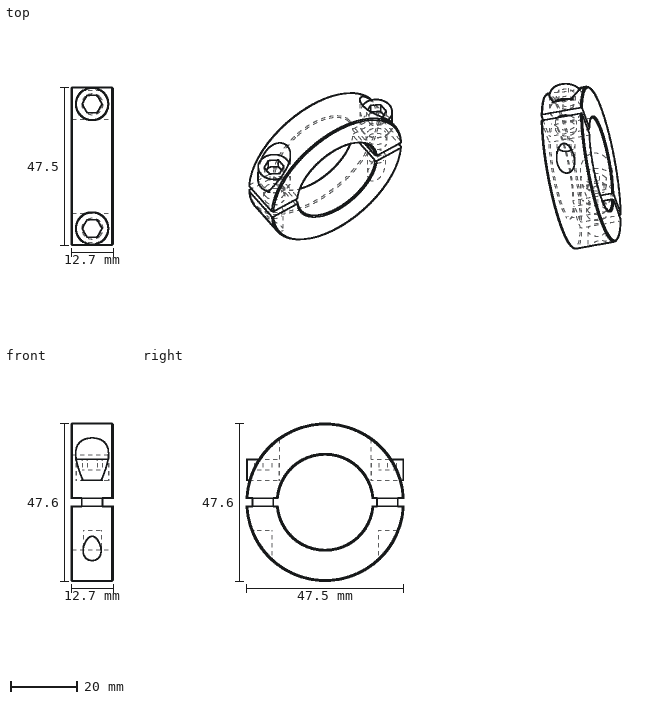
import cadquery as cq
import math

outer_diameter = 47.6
bore_diameter = 28.55
width = 12.7
edge_chamfer = 0.4
split_gap = 2.5

screw_offset = 18.75
shank_diameter = 6.4
shank_length = 15.0
head_diameter = 9.6
head_height = 6.3
hex_across_flats = 5.25
hex_depth = 3.15

seat_height = 6.6
counterbore_diameter = 9.9
tapped_hole_diameter = 5.45

outer_radius = outer_diameter / 2
hex_across_corners = hex_across_flats / math.cos(math.pi / 6)
head_top = seat_height + head_height
shank_end = seat_height - shank_length


def vertical_cylinder(diameter, y, bottom, top):
    """Cylinder along Z, centred across the collar width."""
    return (
        cq.Workplane("XY", origin=(0, y, bottom))
        .circle(diameter / 2)
        .extrude(top - bottom)
    )


def make_split_ring():
    """Chamfered ring cut into an upper and a lower half."""
    ring = (
        cq.Workplane("YZ", origin=(-width / 2, 0, 0))
        .circle(outer_radius)
        .circle(bore_diameter / 2)
        .extrude(width)
        .faces("<X or >X")
        .edges()
        .chamfer(edge_chamfer)
    )
    gap = cq.Workplane("XY").box(width, outer_diameter, split_gap)
    return ring.cut(gap)


def make_screw(y):
    """Socket head cap screw with its head resting on the seat."""
    shank = vertical_cylinder(shank_diameter, y, shank_end, seat_height)
    head = vertical_cylinder(head_diameter, y, seat_height, head_top)
    socket = (
        cq.Workplane("XY", origin=(0, y, head_top))
        .polygon(6, hex_across_corners)
        .extrude(-hex_depth)
    )
    return shank.union(head).cut(socket)


result = make_split_ring()
for screw_y in (-screw_offset, screw_offset):
    counterbore = vertical_cylinder(counterbore_diameter, screw_y, seat_height, outer_radius)
    tapped_hole = vertical_cylinder(tapped_hole_diameter, screw_y, -outer_radius, -split_gap / 2)
    result = result.cut(counterbore).cut(tapped_hole).union(make_screw(screw_y))